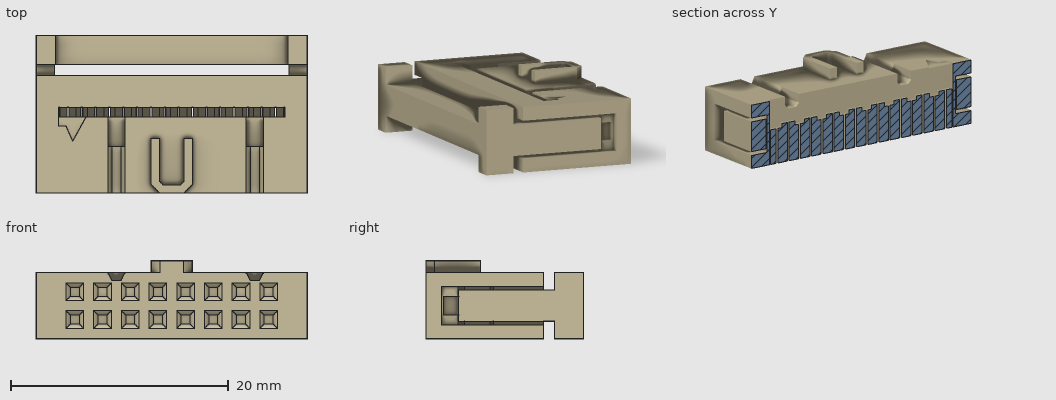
import cadquery as cq

LENGTH = 24.9
DEPTH = 14.5
BODY_HEIGHT = 6.1
TOTAL_HEIGHT = 7.2
BODY_DEPTH = 10.8
MID_HEIGHT = BODY_HEIGHT / 2
EPS = 0.12

PITCH = 2.55
COLUMNS = 8
ROWS = 2
SOCKET_MOUTH = 1.62
SOCKET_FLOOR = 0.82
SOCKET_DEPTH = 0.32

BAR_DEPTH = 2.7
LUG_WIDTH = 1.77
ARM_THICKNESS = 1.7
ARM_HEIGHT = 2.9
ARM_FRONT = 3.01

POCKET_HEIGHT = 3.55
POCKET_FRONT = 1.45
POCKET_SHALLOW = 0.8
POCKET_MIDDLE = 1.37
POCKET_DEEP = LUG_WIDTH
FRONT_RAMP = (2.95, 3.55)
REAR_RAMP = (5.88, 6.22)
NOTCH_HEIGHT = 1.7
NOTCH_FRONT = 1.62

SLOT_LENGTH = 20.75
SLOT_FRONT = 7.0
SLOT_WIDTH = 0.87
CONTACT_PITCH = PITCH / 2
CONTACT_COUNT = COLUMNS * ROWS
WIDE_CONTACT = 1.52
WIDE_CONTACT_TOP = 3.74
LOW_CONTACT_TOP = 3.35
SLIT_WIDTH = 0.15

GROOVE_CENTERS = (-2 * PITCH, 3 * PITCH)
GROOVE_WIDTH = 1.57
GROOVE_FLOOR_WIDTH = 0.82
GROOVE_DEPTH = 0.75
GROOVE_STEP = 4.28
REAR_GROOVE_DEPTH = 1.2
REAR_GROOVE_WALL = 0.82
REAR_GROOVE_FLOOR_WIDTH = 0.97
REAR_GROOVE_RADIUS = 0.32

MARK_DEPTH = 0.1
MARK_SHOULDER = (-9.7, 6.18)
MARK_TIP = (-9.1, 4.78)
MARK_RIGHT = -7.87

KEY_HALF_WIDTH = 1.9
KEY_WALL = 0.77
KEY_BACK = 5.03
KEY_OUTER_CHAMFER = 0.8
KEY_INNER_CHAMFER = 0.32


def block(x_range, y_range, z_range):
    """Axis-aligned box spanning the three ranges."""
    sizes = [high - low for low, high in (x_range, y_range, z_range)]
    return cq.Workplane("XY").box(*sizes, centered=False).translate((x_range[0], y_range[0], z_range[0]))


def centered(size, middle=0.0):
    """Range of the given size about a middle position."""
    return (middle - size / 2, middle + size / 2)


def both_ends(left_shape):
    """The left-hand shape together with its mirror image on the right."""
    return left_shape.union(left_shape.mirror("YZ"))


def side_pockets():
    """Stepped pockets open to the ends and the rear, each with a notch behind the arm tip."""
    left = -LENGTH / 2
    outline = [
        (left - EPS, POCKET_FRONT),
        (left + POCKET_SHALLOW, POCKET_FRONT),
        (left + POCKET_SHALLOW, FRONT_RAMP[0]),
        (left + POCKET_MIDDLE, FRONT_RAMP[1]),
        (left + POCKET_MIDDLE, REAR_RAMP[0]),
        (left + POCKET_DEEP, REAR_RAMP[1]),
        (left + POCKET_DEEP, BODY_DEPTH + EPS),
        (left - EPS, BODY_DEPTH + EPS),
    ]
    bottom = MID_HEIGHT - POCKET_HEIGHT / 2
    pocket = cq.Workplane("XY").workplane(offset=bottom).polyline(outline).close().extrude(POCKET_HEIGHT)
    notch = block(
        (left, left + POCKET_MIDDLE),
        (NOTCH_FRONT, FRONT_RAMP[1]),
        centered(NOTCH_HEIGHT, MID_HEIGHT),
    )
    return both_ends(pocket.union(notch))


def clip():
    """Crossbar with end lugs, and arms stepped to a thin tip that seats on the pocket floor."""
    left = -LENGTH / 2
    bar_y = (DEPTH - BAR_DEPTH, DEPTH)
    arm_z = centered(ARM_HEIGHT, MID_HEIGHT)
    lug = block((left, left + LUG_WIDTH), bar_y, (0, BODY_HEIGHT))
    tip = block((left, left + POCKET_SHALLOW), (ARM_FRONT, DEPTH), arm_z)
    arm = block((left, left + ARM_THICKNESS), (FRONT_RAMP[1], DEPTH), arm_z)
    crossbar = block(centered(LENGTH), bar_y, arm_z)
    return both_ends(lug.union(arm).union(tip)).union(crossbar)


def sockets():
    """Square funnels in the mating face."""
    funnel = (
        cq.Workplane("XY")
        .rect(SOCKET_MOUTH, SOCKET_MOUTH)
        .workplane(offset=-SOCKET_DEPTH)
        .rect(SOCKET_FLOOR, SOCKET_FLOOR)
        .loft(ruled=True)
        .val()
    )
    mating_face = cq.Workplane("XZ", origin=(0, 0, MID_HEIGHT))
    return mating_face.rarray(PITCH, PITCH, COLUMNS, ROWS).eachpoint(funnel, useLocalCoordinates=True)


def contact_slot():
    """Slot through the body, leaving a stepped row of contacts with a slit in each."""
    slot_y = (SLOT_FRONT, SLOT_FRONT + SLOT_WIDTH)
    slot = block(centered(SLOT_LENGTH), slot_y, (-EPS, BODY_HEIGHT + EPS))
    first_middle = -(CONTACT_COUNT - 1) / 2 * CONTACT_PITCH
    row_length = WIDE_CONTACT - 2 * first_middle
    contacts = block(centered(row_length), slot_y, (-EPS, LOW_CONTACT_TOP))
    for index in range(0, CONTACT_COUNT, 2):
        middle = first_middle + index * CONTACT_PITCH
        contacts = contacts.union(block(centered(WIDE_CONTACT, middle), slot_y, (-EPS, WIDE_CONTACT_TOP)))
    for index in range(CONTACT_COUNT):
        middle = first_middle + index * CONTACT_PITCH
        contacts = contacts.cut(block(centered(SLIT_WIDTH, middle), slot_y, (-EPS, WIDE_CONTACT_TOP)))
    return slot.cut(contacts)


def channel(middle, y_range, wall_height, depth, floor_width):
    """Groove cutter along Y: upright walls, then walls sloping in to a flat floor."""
    half_width = GROOVE_WIDTH / 2
    half_floor = floor_width / 2
    outline = [
        (-half_width, EPS),
        (-half_width, -wall_height),
        (-half_floor, -depth),
        (half_floor, -depth),
        (half_width, -wall_height),
        (half_width, EPS),
    ]
    front, rear = y_range
    profile = cq.Workplane("XZ", origin=(middle, front, BODY_HEIGHT)).polyline(outline).close()
    return profile.extrude(front - rear)


def groove(middle):
    """Shallow tapered groove that steps down to a deeper one with a rounded floor."""
    front = channel(middle, (0, GROOVE_STEP), 0, GROOVE_DEPTH, GROOVE_FLOOR_WIDTH)
    rear = channel(
        middle,
        (GROOVE_STEP, SLOT_FRONT),
        REAR_GROOVE_WALL,
        REAR_GROOVE_DEPTH,
        REAR_GROOVE_FLOOR_WIDTH,
    )
    return front.union(rear.faces("<Z").edges("|Y").fillet(REAR_GROOVE_RADIUS))


def pin_one_mark():
    """Shallow arrow recess in the top, beside the contact slot."""
    left = -SLOT_LENGTH / 2
    outline = [
        (left, SLOT_FRONT),
        (left, MARK_SHOULDER[1]),
        MARK_SHOULDER,
        MARK_TIP,
        (MARK_RIGHT, SLOT_FRONT),
    ]
    return cq.Workplane("XY").workplane(offset=BODY_HEIGHT).polyline(outline).close().extrude(-MARK_DEPTH)


def key():
    """U-shaped rib on the top, open towards the rear."""
    outer = block((-KEY_HALF_WIDTH, KEY_HALF_WIDTH), (0, KEY_BACK), (BODY_HEIGHT, TOTAL_HEIGHT))
    outer = outer.edges("|Z and <Y").chamfer(KEY_OUTER_CHAMFER)
    inner_half = KEY_HALF_WIDTH - KEY_WALL
    inner = block((-inner_half, inner_half), (KEY_WALL, KEY_BACK), (BODY_HEIGHT, TOTAL_HEIGHT))
    inner = inner.edges("|Z and <Y").chamfer(KEY_INNER_CHAMFER)
    return outer.cut(inner)


body = block(centered(LENGTH), (0, BODY_DEPTH), (0, BODY_HEIGHT))
body = body.cut(side_pockets()).cut(sockets()).cut(contact_slot()).cut(pin_one_mark())
for groove_center in GROOVE_CENTERS:
    body = body.cut(groove(groove_center))

result = body.union(key()).union(clip())